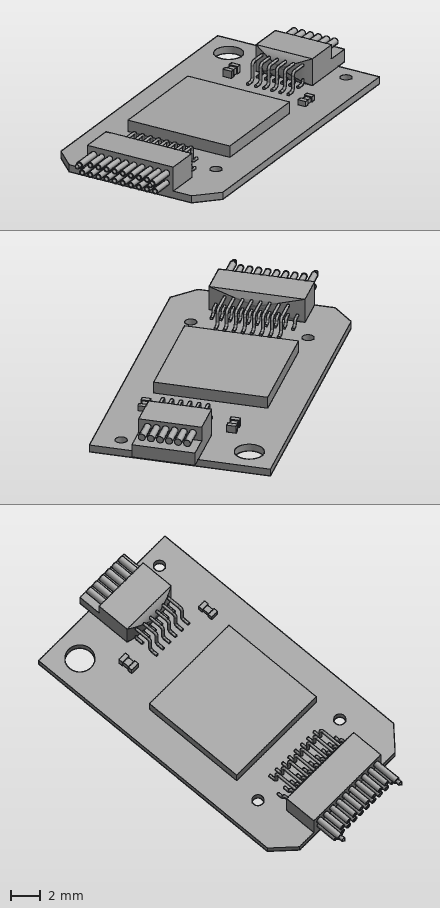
import cadquery as cq
import math


board_width = 12.7
board_length = 22.5
board_top = 0.55
corner_cut = 1.55
mounting_hole_diameter = 2.03
mounting_hole_place = (-4.35, 20.55)
small_hole_diameter = 0.82
small_hole_places = [(4.45, 21.25), (-4.11, 4.45), (4.11, 4.45)]

chip_side = 8.0
chip_height = 0.85
chip_middle_y = 10.5

contact_pitch = 0.635
lead_diameter = 0.203
lead_bend = 0.25
lead_root = 0.25
foot_z = board_top + 0.08

front_body_width = 6.74
front_body_depth = 2.5
front_body_height = 1.8
front_bulge = 0.25
front_columns = 10
front_upper_z = 1.77
front_lower_z = 1.05
front_pin_diameter = 0.4
front_pin_length = 1.57
front_dimple_diameter = 0.3
front_dimple_depth = 0.15
guide_pin_diameter = 0.45
guide_shank_length = 1.93
guide_tip_diameter = 0.3
guide_tip_length = 0.45
guide_point_length = 0.15
front_upper_bend_y = 4.47
front_upper_foot_y = 5.1
front_lower_bend_y = 3.25
front_lower_foot_y = 3.75

rear_middle_x = 0.93
rear_body_width = 4.42
rear_body_front_y = 19.0
rear_body_back_y = 21.57
rear_body_height = 2.0
rear_ledge_back_y = 25.7 - guide_shank_length - guide_tip_length
rear_ledge_height = 0.95
rear_bulge = 0.51
rear_columns = 6
rear_upper_z = 2.03
rear_lower_z = 1.05
rear_pin_diameter = 0.5
rear_pin_back_y = 23.1
rear_upper_bend_y = 17.45
rear_upper_foot_y = 16.81
rear_lower_bend_y = 18.8
rear_lower_foot_y = 18.13

terminal_step = 0.08


def box(x_range, y_range, z_range):
    """Block between the given limits."""
    size = [high - low for low, high in (x_range, y_range, z_range)]
    corner = (x_range[0], y_range[0], z_range[0])
    return cq.Workplane("XY").box(*size, centered=False).translate(corner)


def rod(x, z, diameter, y_start, y_end):
    """Round bar along Y."""
    circle = cq.Workplane("XZ", origin=(x, y_start, z)).circle(diameter / 2)
    return circle.extrude(y_start - y_end)


def bent_lead(x, z, y_start, y_bend, y_foot):
    """Wire running along Y, bent down at y_bend to a foot on the board."""
    way = math.copysign(1, y_bend - y_start)
    radius = min(lead_bend, (z - foot_z) / 2)
    diagonal = radius * math.sqrt(0.5)
    shoulder_y = y_bend - way * radius
    heel_y = y_bend + way * radius
    path = (
        cq.Workplane("YZ", origin=(x, 0, 0))
        .moveTo(y_start, z)
        .lineTo(shoulder_y, z)
        .threePointArc((shoulder_y + way * diagonal, z - radius + diagonal), (y_bend, z - radius))
    )
    if z - foot_z > 2 * lead_bend:
        path = path.lineTo(y_bend, foot_z + radius)
    path = path.threePointArc(
        (heel_y - way * diagonal, foot_z + radius - diagonal), (heel_y, foot_z)
    ).lineTo(y_foot, foot_z)
    section = cq.Workplane("XZ", origin=(x, y_start, z)).circle(lead_diameter / 2)
    return section.sweep(path)


def bulged_face(x_middle, width, y_face, height, bulge):
    """Filling that swells from a rectangular face in both directions."""
    left = x_middle - width / 2
    right = x_middle + width / 2
    top = board_top + height
    y_peak = y_face + bulge
    along_width = (
        cq.Workplane("XY", origin=(0, 0, board_top))
        .moveTo(left, y_face)
        .threePointArc((x_middle, y_peak), (right, y_face))
        .close()
        .extrude(height)
    )
    along_height = (
        cq.Workplane("YZ", origin=(left, 0, 0))
        .moveTo(y_face, board_top)
        .threePointArc((y_peak, board_top + height / 2), (y_face, top))
        .close()
        .extrude(width)
    )
    return along_width.intersect(along_height)


def column_places(x_middle, count):
    """X of each contact column."""
    return [x_middle + (i - (count - 1) / 2) * contact_pitch for i in range(count)]


def guide_pin(x):
    """Long pin with a thinner, pointed tip."""
    radius = guide_pin_diameter / 2
    tip_radius = guide_tip_diameter / 2
    tip_end = guide_shank_length + guide_tip_length
    profile = [
        (0, 0),
        (radius, 0),
        (radius, -guide_shank_length),
        (tip_radius, -guide_shank_length),
        (tip_radius, guide_point_length - tip_end),
        (0, -tip_end),
    ]
    pin = cq.Workplane("XY").polyline(profile).close().revolve(360, (0, 0, 0), (0, 1, 0))
    return pin.translate((x, 0, front_upper_z))


def dimpled_pin(x, z):
    """Front pin with a conical dimple in its free end."""
    radius = front_pin_diameter / 2
    profile = [
        (0, 0),
        (radius, 0),
        (radius, -front_pin_length),
        (front_dimple_diameter / 2, -front_pin_length),
        (0, front_dimple_depth - front_pin_length),
    ]
    pin = cq.Workplane("XY").polyline(profile).close().revolve(360, (0, 0, 0), (0, 1, 0))
    return pin.translate((x, 0, z))


def circuit_board():
    board = box((-board_width / 2, board_width / 2), (0, board_length), (0, board_top))
    board = board.edges("|Z and <Y").chamfer(corner_cut)
    top = board.faces(">Z").workplane(origin=(0, 0, board_top))
    board = top.pushPoints([mounting_hole_place]).hole(mounting_hole_diameter)
    top = board.faces(">Z").workplane(origin=(0, 0, board_top))
    return top.pushPoints(small_hole_places).hole(small_hole_diameter)


def chip():
    half = chip_side / 2
    y_range = (chip_middle_y - half, chip_middle_y + half)
    return box((-half, half), y_range, (board_top, board_top + chip_height))


def front_connector():
    half = front_body_width / 2
    top = board_top + front_body_height
    body = box((-half, half), (0, front_body_depth), (board_top, top))
    body = body.union(bulged_face(0, front_body_width, front_body_depth, front_body_height, front_bulge))
    columns = column_places(0, front_columns)
    lead_start_y = front_body_depth - lead_root
    for x in columns:
        body = body.union(dimpled_pin(x, front_lower_z))
        body = body.union(
            bent_lead(x, front_lower_z, lead_start_y, front_lower_bend_y, front_lower_foot_y)
        )
    for x in columns[1:-1]:
        body = body.union(dimpled_pin(x, front_upper_z))
        body = body.union(
            bent_lead(x, front_upper_z, lead_start_y, front_upper_bend_y, front_upper_foot_y)
        )
    for x in (columns[0], columns[-1]):
        body = body.union(guide_pin(x))
    return body


def rear_connector():
    x_range = (rear_middle_x - rear_body_width / 2, rear_middle_x + rear_body_width / 2)
    top = board_top + rear_body_height
    body = box(x_range, (rear_body_front_y, rear_body_back_y), (board_top, top))
    ledge_top = board_top + rear_ledge_height
    body = body.union(box(x_range, (rear_body_back_y, rear_ledge_back_y), (board_top, ledge_top)))
    body = body.union(
        bulged_face(rear_middle_x, rear_body_width, rear_body_front_y, rear_body_height, -rear_bulge)
    )
    lead_start_y = rear_body_front_y + lead_root
    for x in column_places(rear_middle_x, rear_columns):
        body = body.union(rod(x, rear_upper_z, rear_pin_diameter, rear_body_back_y, rear_pin_back_y))
        for z, y_bend, y_foot in (
            (rear_upper_z, rear_upper_bend_y, rear_upper_foot_y),
            (rear_lower_z, rear_lower_bend_y, rear_lower_foot_y),
        ):
            body = body.union(bent_lead(x, z, lead_start_y, y_bend, y_foot))
    return body


def two_terminal_part(x, y, width, length, height, terminal_length):
    """Small component with a raised terminal at each end."""
    half_width = width / 2
    half_length = length / 2
    part = box(
        (x - half_width + terminal_step, x + half_width - terminal_step),
        (y - half_length, y + half_length),
        (board_top, board_top + height - terminal_step),
    )
    for start in (y - half_length, y + half_length - terminal_length):
        terminal = box(
            (x - half_width, x + half_width),
            (start, start + terminal_length),
            (board_top, board_top + height),
        )
        part = part.union(terminal)
    return part


result = (
    circuit_board()
    .union(chip())
    .union(front_connector())
    .union(rear_connector())
    .union(two_terminal_part(x=-2.5, y=17.77, width=0.67, length=1.18, height=0.55, terminal_length=0.33))
    .union(two_terminal_part(x=4.11, y=16.5, width=0.6, length=1.18, height=0.39, terminal_length=0.33))
)